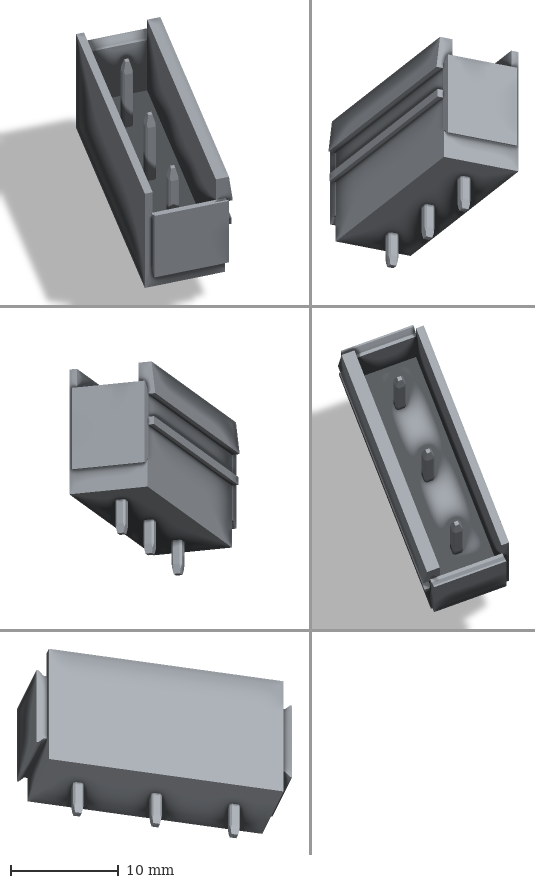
import cadquery as cq


overall_length = 24.5
channel_length = 22.5
housing_height = 12.0
housing_depth = 7.75
floor_thickness = 3.0
front_wall_thickness = 0.75
back_wall_inner_y = 6.85

latch_height = 3.09
latch_top_y = 8.13
latch_bottom_y = 8.5

rib_outer_y = 8.38
rib_bottom_z = 5.95
rib_height = 0.75

end_thickness = (overall_length - channel_length) / 2
end_front_y = 0.65
end_back_y = 7.82
end_height = 7.85
end_rim = 0.17
end_flare = 0.51

pin_count = 3
pin_pitch = 7.5
pin_y = 3.8
pin_width = 1.0
pin_edge_chamfer = 0.17
pin_bottom_z = -3.18
pin_top_z = 11.05
top_tip_width = 0.4
top_taper = 1.32
bottom_tip_width = 0.64
bottom_taper = 0.88


def make_channel():
    """U-shaped channel with the latch and the rib on its back wall."""
    latch_bottom_z = housing_height - latch_height
    rib_top_z = rib_bottom_z + rib_height
    profile = [
        (0, 0),
        (housing_depth, 0),
        (housing_depth, rib_bottom_z),
        (rib_outer_y, rib_bottom_z),
        (rib_outer_y, rib_top_z),
        (housing_depth, rib_top_z),
        (housing_depth, latch_bottom_z),
        (latch_bottom_y, latch_bottom_z),
        (latch_top_y, housing_height),
        (back_wall_inner_y, housing_height),
        (back_wall_inner_y, floor_thickness),
        (front_wall_thickness, floor_thickness),
        (front_wall_thickness, housing_height),
        (0, housing_height),
    ]
    return cq.Workplane("YZ").polyline(profile).close().extrude(channel_length / 2, both=True)


def make_end(side):
    """Dovetail end plate at the +X (side = 1) or -X (side = -1) end of the channel."""
    inner_x = side * channel_length / 2
    outer_x = inner_x + side * end_thickness
    rim_x = outer_x - side * end_rim
    neck_x = rim_x - side * end_flare
    bottom_z = (housing_height - end_height) / 2
    top_z = bottom_z + end_height
    profile = [
        (inner_x, bottom_z + end_flare),
        (neck_x, bottom_z + end_flare),
        (rim_x, bottom_z),
        (outer_x, bottom_z),
        (outer_x, top_z),
        (rim_x, top_z),
        (neck_x, top_z - end_flare),
        (inner_x, top_z - end_flare),
    ]
    plane = cq.Workplane("XZ", origin=(0, end_front_y, 0))
    return plane.polyline(profile).close().extrude(end_front_y - end_back_y)


def taper_envelope(shoulder_z, tip_z, tip_width):
    """Square frustum narrowing from the full pin width to the tip."""
    base = cq.Workplane("XY", origin=(0, pin_y, shoulder_z)).rect(pin_width, pin_width)
    return base.workplane(offset=tip_z - shoulder_z).rect(tip_width, tip_width).loft(ruled=True)


def make_pin(x):
    """Square pin with chamfered edges and a tapered tip at each end."""
    top_shoulder_z = pin_top_z - top_taper
    bottom_shoulder_z = pin_bottom_z + bottom_taper
    shank = cq.Workplane("XY", origin=(0, pin_y, bottom_shoulder_z)).rect(pin_width, pin_width)
    envelope = shank.extrude(top_shoulder_z - bottom_shoulder_z)
    envelope = envelope.union(taper_envelope(top_shoulder_z, pin_top_z, top_tip_width))
    envelope = envelope.union(taper_envelope(bottom_shoulder_z, pin_bottom_z, bottom_tip_width))

    bar = cq.Workplane("XY", origin=(0, pin_y, pin_bottom_z)).rect(pin_width, pin_width)
    bar = bar.extrude(pin_top_z - pin_bottom_z).edges("|Z").chamfer(pin_edge_chamfer)
    return bar.intersect(envelope).translate((x, 0, 0))


pins = []
for index in range(pin_count):
    pins.append(make_pin((index - (pin_count - 1) / 2) * pin_pitch))

housing = make_channel()
for side in (-1, 1):
    housing = housing.union(make_end(side))
for pin in pins:
    housing = housing.cut(pin)

result = cq.Compound.makeCompound([housing.solids().val(), *[pin.solids().val() for pin in pins]])